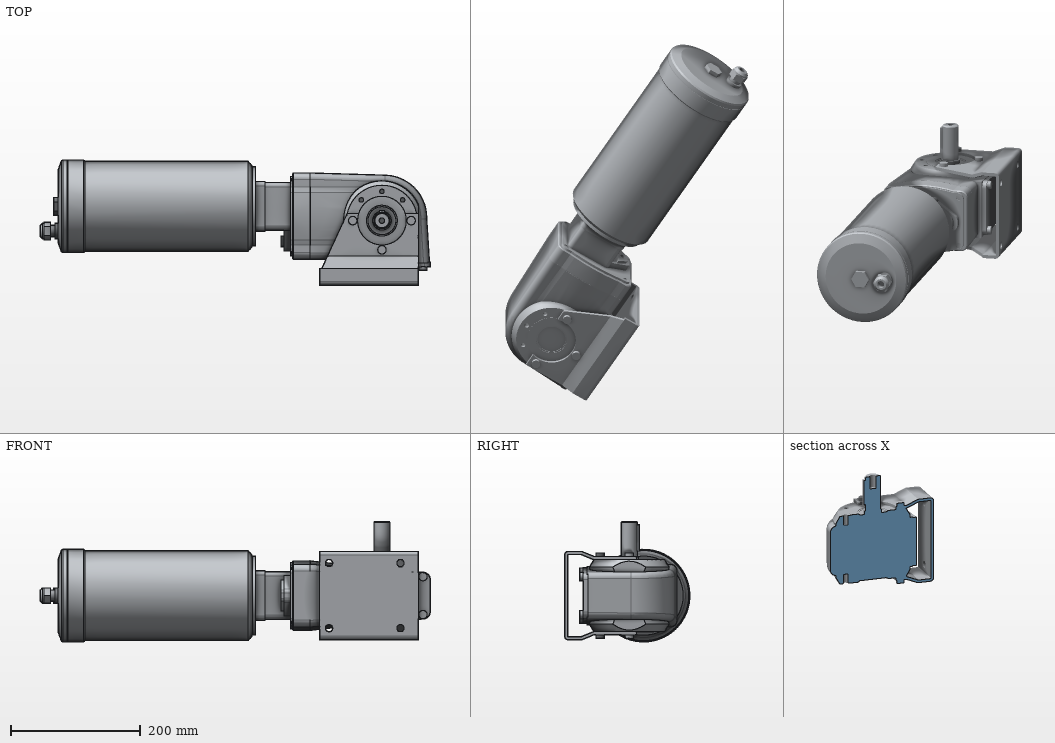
import cadquery as cq
import math


motor_y = 22.0
motor_cap_r = 143.0 / 2
motor_body_r = 139.0 / 2
motor_spigot_r = 61.0
motor_end_face_r = 56.0
motor_rear_x = -499.0
cap_cone_length = 5.0
cap_cone_r = 70.0
cap_edge_length = 7.5
cap_front_x = -457.5
cap_chamfer = 2.0
cap_groove_x = -485.0
cap_groove_width = 1.5
cap_groove_depth = 0.8
motor_shoulder_x = -201.5
motor_front_chamfer = 5.0
spigot_rear_x = -199.6
motor_front_x = -194.5

plug_flats = 24.0
plug_length = 7.0
gland_y = -16.0
gland_rear_x = -526.5
gland_cap_diameter = 24.0
gland_cap_length = 6.0
gland_cap_chamfer = 3.5
gland_nut_flats = 24.0
gland_nut_length = 10.0
gland_neck_diameter = 18.0
gland_collar_diameter = 24.0
gland_collar_length = 5.0
gland_bore_diameter = 11.0
gland_bore_depth = 12.0

adapter_step_x = -180.0
adapter_rear_size = 77.0
adapter_size = 74.0
adapter_corner_r = 7.0

flange_x = -137.7
flange_end_x = -109.7
flange_top_y = 73.6
flange_bottom_y = -59.6
flange_half_height = 53.7
flange_crown_rise = 5.5
flange_shoulder_width = 22.0
crown_ramp_width = 8.0
crown_ramp_rise = 1.8
flange_corner_r = 10.5
flange_chamfer = 1.5
gasket_thickness = 3.5
gasket_inset = 5.3
gasket_screw_diameter = 9.0
gasket_screw_inset = 7.5
gasket_recess_depth = 1.5
housing_arc_start = (4.5, 70.2)
housing_arc_end = (69.2, 3.0)
housing_end_x = 73.5
housing_low_y = -65.0
housing_step_x = -66.0
housing_end_half_height = 35.5
housing_edge_r = 10.0
crown_end_rise = 0.5

cover_thickness = 6.3
cover_left_x = -62.0
cover_left_half_height = 44.0
cover_right_x = 74.5
cover_right_half_height = 34.5
cover_corner_r = 10.0
cover_screw_places = [(63.2, 29.3), (-50.0, 36.2)]

boss_half_height = 55.5
pilot_rise = 0.4
boss_r = 54.5
boss_foot_r = 61.5
boss_foot_z = 44.0
pilot_z = boss_half_height + pilot_rise
pilot_diameter = 75.0
seal_diameter = 47.5
seal_depth = 2.0
seal_lip_diameter = 43.0
seal_lip_depth = 1.0
shaft_diameter = 25.0
shaft_top_z = 114.5
shaft_chamfer = 1.5
shoulder_diameter = 29.0
shoulder_height = 6.0
centre_hole_diameter = 8.5
centre_hole_depth = 20.0
key_width = 8.0
key_projection = 3.0
key_bottom_z = 69.0
key_top_z = 109.5

sheet = 5.0
bracket_left_x = -96.0
bracket_right_x = 56.0
cheek_z = boss_half_height + sheet
bracket_half_height = 68.3
bracket_base_y = -99.8
bend_start_y = -54.5
bend_end_y = -73.5
bend_outer_r = 6.0
bend_inner_r = 1.0
cheek_end_y = 11.0
cheek_end_left_x = -53.5
cheek_corner = (-92.6, bend_end_y)
base_hole_diameter = 11.0
base_hole_centre_x = -26.5
base_hole_pitch_x = 110.0
base_hole_pitch_z = 100.0

bolt_circle_r = 45.0
bolt_head_diameter = 13.0
bolt_head_height = 5.3
free_hole_diameter = 7.0
free_hole_depth = 15.0

lug_rear_x = -151.0
lug_base_half_height = 32.0
lug_nose_y = -47.0
lug_nose_r = 8.0
pad_height = 4.8
pad_base_y = -23.5
pad_half_height = 24.0
pad_nose_y = -40.6
pad_nose_r = 7.0
lug_hole_diameter = 8.9
lug_hole_depth = 4.0
lug_hole_y = -32.0

overlap = 1.0


def box(x0, x1, y0, y1, z0, z1):
    return cq.Workplane("XY").box(x1 - x0, y1 - y0, z1 - z0, centered=False).translate((x0, y0, z0))


def along_x(x, y=0.0):
    """Sketch plane facing +X at the given place; local x is Y and local y is Z."""
    return cq.Workplane("YZ", origin=(x, y, 0))


def disc_x(diameter, x0, x1, y):
    return along_x(x0, y).circle(diameter / 2).extrude(x1 - x0)


def hexagon_x(flats, x0, x1, y):
    """Hexagonal prism along X with two flats facing +Z and -Z."""
    return along_x(x0, y).polygon(6, flats / math.cos(math.pi / 6)).extrude(x1 - x0)


def disc_z(diameter, z0, z1, x=0.0, y=0.0):
    return cq.Workplane("XY", origin=(x, y, z0)).circle(diameter / 2).extrude(z1 - z0)


def both_sides(solid):
    return solid.union(solid.mirror("XY"))


def make_motor():
    body = (
        cq.Workplane("XY")
        .moveTo(motor_rear_x, 0)
        .lineTo(motor_rear_x, motor_end_face_r)
        .lineTo(motor_rear_x + cap_cone_length, cap_cone_r)
        .lineTo(motor_rear_x + cap_edge_length, motor_cap_r)
        .lineTo(cap_front_x - cap_chamfer, motor_cap_r)
        .lineTo(cap_front_x, motor_body_r)
        .lineTo(motor_shoulder_x - motor_front_chamfer, motor_body_r)
        .lineTo(motor_shoulder_x, motor_body_r - motor_front_chamfer)
        .lineTo(spigot_rear_x, motor_spigot_r)
        .lineTo(motor_front_x, motor_spigot_r)
        .lineTo(motor_front_x, 0)
        .close()
        .revolve(360, (0, 0, 0), (1, 0, 0))
        .translate((0, motor_y, 0))
    )
    groove = (
        along_x(cap_groove_x, motor_y)
        .circle(motor_cap_r + overlap)
        .circle(motor_cap_r - cap_groove_depth)
        .extrude(cap_groove_width)
    )
    return body.cut(groove)


def make_plug():
    return hexagon_x(plug_flats, motor_rear_x - plug_length, motor_rear_x + overlap, motor_y)


def make_gland():
    nut_x = gland_rear_x + gland_cap_length
    cap = disc_x(gland_cap_diameter, gland_rear_x, nut_x + overlap, gland_y)
    cap = cap.faces("<X").chamfer(gland_cap_chamfer)
    nut = hexagon_x(gland_nut_flats, nut_x, nut_x + gland_nut_length, gland_y)
    neck = disc_x(gland_neck_diameter, nut_x, motor_rear_x + overlap, gland_y)
    collar_x = motor_rear_x - gland_collar_length
    collar = disc_x(gland_collar_diameter, collar_x, motor_rear_x + overlap, gland_y)
    bore = disc_x(gland_bore_diameter, gland_rear_x, gland_rear_x + gland_bore_depth, gland_y)
    return cap.union(nut).union(neck).union(collar).cut(bore)


def make_adapter():
    def block(size, x0, x1):
        return along_x(x0, motor_y).rect(size, size).extrude(x1 - x0).edges("|X").fillet(adapter_corner_r)

    rear = block(adapter_rear_size, motor_front_x - overlap, adapter_step_x)
    front = block(adapter_size, adapter_step_x - overlap, flange_x + overlap)
    return rear.union(front)


def crowned_outline(x, peak, inset=0.0):
    """Housing section at x: straight sides, flat shoulders, crowned middle, the same toward +Z and -Z."""
    half_width = (flange_top_y - flange_bottom_y) / 2 - inset
    crown_half_width = half_width + inset - flange_shoulder_width
    arc_half_width = crown_half_width - crown_ramp_width
    shoulder_z = peak - flange_crown_rise
    arc_z = shoulder_z + crown_ramp_rise
    return (
        along_x(x, (flange_top_y + flange_bottom_y) / 2)
        .moveTo(-half_width, -shoulder_z)
        .lineTo(-half_width, shoulder_z)
        .lineTo(-crown_half_width, shoulder_z)
        .lineTo(-arc_half_width, arc_z)
        .threePointArc((0, peak), (arc_half_width, arc_z))
        .lineTo(crown_half_width, shoulder_z)
        .lineTo(half_width, shoulder_z)
        .lineTo(half_width, -shoulder_z)
        .lineTo(crown_half_width, -shoulder_z)
        .lineTo(arc_half_width, -arc_z)
        .threePointArc((0, -peak), (-arc_half_width, -arc_z))
        .lineTo(-crown_half_width, -shoulder_z)
        .close()
    )


def round_long_corners(solid, radius):
    """Round the four outer edges that run along X."""
    return solid.edges("|X").edges("<Y or >Y").fillet(radius)


def make_flange():
    block = crowned_outline(flange_x, flange_half_height).extrude(flange_end_x - flange_x)
    return round_long_corners(block, flange_corner_r).faces("<X").chamfer(flange_chamfer)


def make_gasket():
    peak = flange_half_height - gasket_inset / 2
    outline = crowned_outline(flange_x - gasket_thickness, peak, gasket_inset)
    gasket = round_long_corners(outline.extrude(gasket_thickness + overlap), flange_corner_r)
    screw_z = flange_half_height - 2 * gasket_screw_inset
    edge_distance = gasket_inset + gasket_screw_inset
    start_x = flange_x - gasket_thickness
    for y in (flange_top_y - edge_distance, flange_bottom_y + edge_distance):
        for z in (-screw_z, screw_z):
            recess = disc_x(gasket_screw_diameter, start_x, start_x + gasket_recess_depth, y)
            gasket = gasket.cut(recess.translate((0, 0, z)))
    return gasket


def shoulder_height_at(x):
    """Half-height of the tapered housing beside its crown."""
    start = flange_half_height - flange_crown_rise
    return start + (housing_end_half_height - start) * (x - flange_end_x) / (housing_end_x - flange_end_x)


def make_housing_body():
    """Body that rounds the shaft axis and gets thinner in Z toward +X."""
    arc_centre = (housing_arc_start[0], housing_arc_end[1])
    arc_radii = (housing_arc_end[0] - arc_centre[0], housing_arc_start[1] - arc_centre[1])
    middle = math.sqrt(0.5)
    arc_middle = (arc_centre[0] + arc_radii[0] * middle, arc_centre[1] + arc_radii[1] * middle)
    plan = (
        cq.Workplane("XY", origin=(0, 0, -flange_half_height))
        .moveTo(flange_end_x - overlap, flange_top_y)
        .lineTo(*housing_arc_start)
        .threePointArc(arc_middle, housing_arc_end)
        .lineTo(housing_end_x, housing_low_y)
        .lineTo(housing_step_x, housing_low_y)
        .lineTo(housing_step_x, flange_bottom_y)
        .lineTo(flange_end_x - overlap, flange_bottom_y)
        .close()
        .extrude(2 * flange_half_height)
    )
    taper = (
        cq.Workplane("XZ", origin=(0, flange_top_y, 0))
        .moveTo(flange_end_x - overlap, -shoulder_height_at(flange_end_x - overlap))
        .lineTo(housing_end_x, -housing_end_half_height)
        .lineTo(housing_end_x, housing_end_half_height)
        .lineTo(flange_end_x - overlap, shoulder_height_at(flange_end_x - overlap))
        .close()
        .extrude(flange_top_y - housing_low_y)
    )
    rim = cq.selectors.BoxSelector(
        (flange_end_x, housing_low_y + overlap, -flange_half_height),
        (housing_end_x + overlap, flange_top_y, flange_half_height),
    )
    return plan.intersect(taper).faces(">Z or <Z").edges(rim).edges("not(|Y)").fillet(housing_edge_r)


def make_housing_crown():
    """Crowned middle of the housing, fading out from the flange toward the shaft axis."""
    half_width = (flange_top_y - flange_bottom_y) / 2 - flange_shoulder_width
    arc_half_width = half_width - crown_ramp_width
    centre_y = (flange_top_y + flange_bottom_y) / 2
    sections = []
    for x, rise in ((flange_end_x - overlap, flange_crown_rise), (0.0, crown_end_rise)):
        edge_z = shoulder_height_at(x)
        arc_z = edge_z + crown_ramp_rise * rise / flange_crown_rise
        sections.append(
            along_x(x, centre_y)
            .moveTo(-half_width, 0)
            .lineTo(-half_width, edge_z)
            .lineTo(-arc_half_width, arc_z)
            .threePointArc((0, edge_z + rise), (arc_half_width, arc_z))
            .lineTo(half_width, edge_z)
            .lineTo(half_width, 0)
            .close()
            .wire()
            .val()
        )
    return both_sides(cq.Workplane(cq.Solid.makeLoft(sections, True)))


def make_bosses():
    foot = (
        cq.Workplane("XZ")
        .moveTo(0, 0)
        .lineTo(boss_r, 0)
        .lineTo(boss_foot_r, boss_foot_z)
        .lineTo(boss_r, boss_half_height)
        .lineTo(0, boss_half_height)
        .close()
        .revolve(360, (0, 0, 0), (0, 1, 0))
    )
    height_range = (-boss_half_height, boss_half_height)
    beside_bracket_edge = box(-boss_foot_r, bracket_right_x, -boss_foot_r, boss_foot_r, *height_range)
    return both_sides(foot).intersect(beside_bracket_edge)


def make_cover():
    cover = (
        cq.Workplane("XZ", origin=(0, housing_low_y + overlap, 0))
        .moveTo(cover_left_x, -cover_left_half_height)
        .lineTo(cover_right_x, -cover_right_half_height)
        .lineTo(cover_right_x, cover_right_half_height)
        .lineTo(cover_left_x, cover_left_half_height)
        .close()
        .extrude(cover_thickness + overlap)
        .edges("|Y")
        .fillet(cover_corner_r)
    )
    face_y = housing_low_y - cover_thickness
    for x, z in cover_screw_places:
        head = (
            cq.Workplane("XZ", origin=(x, face_y + overlap, z))
            .circle(bolt_head_diameter / 2)
            .extrude(bolt_head_height + overlap)
        )
        cover = cover.union(both_sides(head))
    return cover


def triangle_with_nose(rear_x, front_x, base_y, base_half_height, nose_y, nose_r):
    """Plate across X: wide at base_y, narrowing toward -Y to a rounded nose."""
    return (
        along_x(rear_x)
        .moveTo(base_y, -base_half_height)
        .lineTo(base_y, base_half_height)
        .lineTo(nose_y, nose_r)
        .lineTo(nose_y, -nose_r)
        .close()
        .extrude(front_x - rear_x)
        .edges("|X and <Y")
        .fillet(nose_r)
    )


def make_lug():
    """Triangular lug with a rounded nose and a raised pad that carries a screw hole."""
    root_y = motor_y - adapter_size / 2 + overlap
    lug = triangle_with_nose(
        lug_rear_x, flange_x + overlap, root_y, lug_base_half_height, lug_nose_y, lug_nose_r
    )
    pad_rear_x = lug_rear_x - pad_height
    pad = triangle_with_nose(
        pad_rear_x, lug_rear_x + overlap, pad_base_y, pad_half_height, pad_nose_y, pad_nose_r
    )
    hole = disc_x(lug_hole_diameter, pad_rear_x, pad_rear_x + lug_hole_depth, lug_hole_y)
    return lug.union(pad).cut(hole)


def make_bracket():
    opening_y = cheek_end_y + 2 * sheet
    half_section = [
        (opening_y, cheek_z),
        (bend_start_y, cheek_z),
        (bend_end_y, bracket_half_height),
        (bracket_base_y, bracket_half_height),
    ]
    outer_points = half_section + [(y, -z) for y, z in reversed(half_section)]
    width = bracket_right_x - bracket_left_x
    outline = along_x(bracket_left_x).polyline(outer_points).close()
    inner = outline.offset2D(-sheet, "intersection").extrude(width)
    outer = along_x(bracket_left_x).polyline(outer_points).close().extrude(width)
    outer = outer.edges("|X and <Y").fillet(bend_outer_r)
    inner = inner.edges("|X and <Y").fillet(bend_inner_r)
    opening = box(bracket_left_x, bracket_right_x, 0, opening_y, -boss_half_height, boss_half_height)
    plan = (
        cq.Workplane("XY", origin=(0, 0, -bracket_half_height))
        .moveTo(bracket_right_x, bracket_base_y)
        .lineTo(bracket_right_x, cheek_end_y)
        .lineTo(cheek_end_left_x, cheek_end_y)
        .lineTo(*cheek_corner)
        .lineTo(bracket_left_x, cheek_corner[1])
        .lineTo(bracket_left_x, bracket_base_y)
        .close()
        .extrude(2 * bracket_half_height)
    )
    holes = (
        cq.Workplane("XZ", origin=(base_hole_centre_x, bracket_base_y + sheet + overlap, 0))
        .rarray(base_hole_pitch_x, base_hole_pitch_z, 2, 2)
        .circle(base_hole_diameter / 2)
        .extrude(sheet + 2 * overlap)
    )
    pilot_opening = disc_z(pilot_diameter, -cheek_z, cheek_z)
    return outer.cut(inner).cut(opening).intersect(plan).cut(holes).cut(pilot_opening)


def make_pilots():
    """Low centring discs on the bosses, inside the round openings of the cheeks."""
    return both_sides(disc_z(pilot_diameter, boss_half_height - overlap, pilot_z))


def place_on_bolt_circle(angle):
    return bolt_circle_r * math.cos(math.radians(angle)), bolt_circle_r * math.sin(math.radians(angle))


def add_cheek_bolts(part):
    for angle in (0, 180, 270):
        x, y = place_on_bolt_circle(angle)
        head = disc_z(bolt_head_diameter, cheek_z - overlap, cheek_z + bolt_head_height, x, y)
        part = part.union(both_sides(head))
    return part


def cut_free_holes(part):
    for angle in (45, 90, 135):
        x, y = place_on_bolt_circle(angle)
        hole = disc_z(free_hole_diameter, boss_half_height - free_hole_depth, boss_half_height, x, y)
        part = part.cut(both_sides(hole))
    return part


def cut_seal_seats(part):
    """Stepped round recess in each pilot, deeper inside the seal lip."""
    rim = disc_z(seal_diameter, pilot_z - seal_lip_depth, pilot_z)
    lip = disc_z(seal_lip_diameter, pilot_z - seal_depth, pilot_z)
    return part.cut(both_sides(rim.union(lip)))


def make_shaft():
    seat_z = pilot_z - seal_depth
    shaft = disc_z(shaft_diameter, seat_z - overlap, shaft_top_z).faces(">Z").chamfer(shaft_chamfer)
    shoulder = disc_z(shoulder_diameter, seat_z - overlap, seat_z + shoulder_height)
    key_outer_y = shaft_diameter / 2 + key_projection
    key = box(-key_width / 2, key_width / 2, shaft_diameter / 4, key_outer_y, key_bottom_z, key_top_z)
    centre_hole = disc_z(centre_hole_diameter, shaft_top_z - centre_hole_depth, shaft_top_z)
    return shaft.union(shoulder).union(key).cut(centre_hole)


result = make_motor()
for piece in (
    make_plug(),
    make_gland(),
    make_adapter(),
    make_flange(),
    make_gasket(),
    make_housing_body(),
    make_housing_crown(),
    make_bosses(),
    make_cover(),
    make_lug(),
    make_bracket(),
    make_pilots(),
):
    result = result.union(piece)
result = add_cheek_bolts(result)
result = cut_free_holes(result)
result = cut_seal_seats(result)
result = result.union(make_shaft())